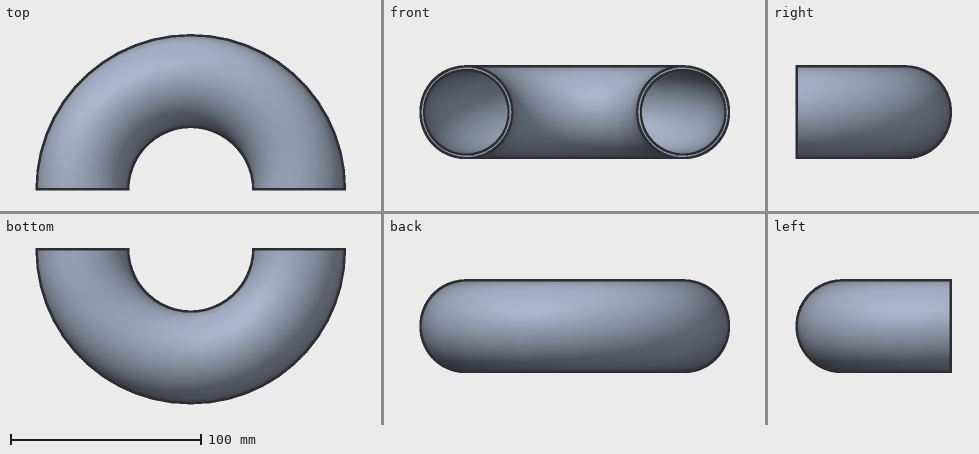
import cadquery as cq

overall_width = 162.3
tube_diameter = 48.4
wall_thickness = 2.0
bend_angle = 180.0

bend_radius = (overall_width - tube_diameter) / 2

bore_diameter = tube_diameter - 2 * wall_thickness
tube_section = (
    cq.Workplane("XZ")
    .center(-bend_radius, 0)
    .circle(tube_diameter / 2)
    .circle(bore_diameter / 2)
)

axis_start = (bend_radius, 0)
axis_end = (bend_radius, -1)
result = tube_section.revolve(bend_angle, axis_start, axis_end)